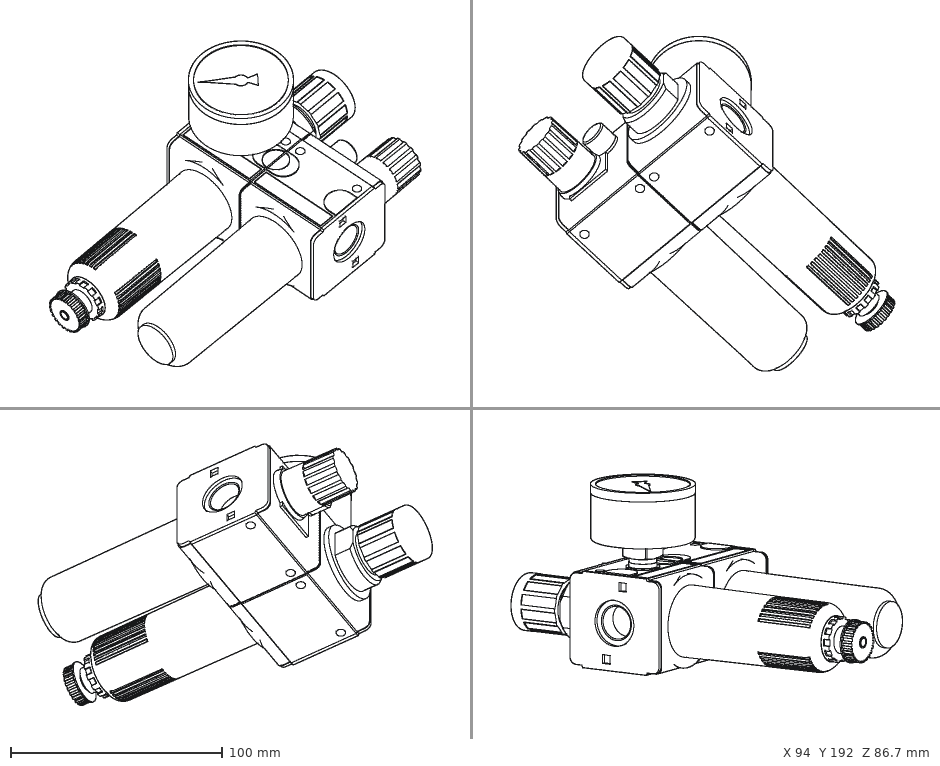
import cadquery as cq

REGULATOR_X = -22.3
LUBRICATOR_X = 22.5

BLOCK_X0 = 0.4
BLOCK_X1 = 45.0
BLOCK_HALF_Y = 25.7
BLOCK_HALF_Z = 23.2
SHOULDER_HALF_Z = 22.5
BAND_HALF_Y = 18.0
BAND_FOOT_HALF_Y = 18.6
EDGE_R = 3.5
BLOCK_W = BLOCK_X1 - BLOCK_X0
BLOCK_MID_X = (BLOCK_X0 + BLOCK_X1) / 2

MOUNT_HOLE_D = 4.5
MOUNT_HOLE_DX = 18.0
MOUNT_HOLE_Y = 12.0
PAD_D = 15.2
PAD_RISE = 0.5
JOINT_SPOT_D = 13.0
LABEL_W = 42.2
LABEL_Y0 = -17.0
LABEL_Y1 = -8.6
LABEL_DEPTH = 0.4
PORT_D = 15.7
PORT_MOUTH_D = 17.0
PORT_MOUTH_DEPTH = 0.4
PORT_DEPTH = 8.8

PLATE_T = 1.7
PLATE_INSET = 0.4
PLATE_HOLE_D = 22.0
WINDOW = 4.2
WINDOW_Y = 4.6
WINDOW_Z = 17.9
SEAL_INSET = 0.5

BOWL_R0 = 17.3
BOWL_R1 = 16.7
BOWL_ROUND_Y = -102.3
BOWL_MID_R = 15.5
BOWL_MID_Y = -105.6
BOWL_CONE_R = 13.0
BOWL_CONE_Y = -107.7
BOWL_TIP_R = 11.1
BOWL_TIP_Y = -108.7
BOWL_FOOT_Y = -110.5

GRIP_Y0 = -104.5
GRIP_Y1 = -75.5
GRIP_GROUPS = 3
GRIP_GROOVES = 8
GRIP_PITCH = 9
GRIP_GROOVE_W = 1.3
GRIP_GROOVE_DEPTH = 0.8

CROWN_R = 11.0
CROWN_Y = -112.9
CROWN_NOTCHES = 12
CROWN_NOTCH_W = 3.0
CROWN_NOTCH_L = 2.9
CROWN_NOTCH_DEPTH = 1.0
DRAIN_STEM_R = 6.5
DRAIN_STEM_Y = -117.7
DRAIN_NECK_R = 4.5
DRAIN_KNOB_Y0 = -119
DRAIN_KNOB_Y1 = -125.0
DRAIN_KNOB_R = 9.8
DRAIN_RIM_R = 10.4
DRAIN_RIM_T = 0.8
DRAIN_KNURLS = 24
DRAIN_KNURL_W = 1.3
DRAIN_KNURL_DEPTH = 0.8
NOZZLE_D = 5.4
NOZZLE_Y = -125.4
NOZZLE_HOLE_D = 4.0
NOZZLE_HOLE_DEPTH = 5.8

FLANGE_R = 19.0
FLANGE_Y = 28.5
RING_FLATS = 26.5
RING_D = 30.5
RING_Y = 38.4
RING_CHAMFER_R = 13.8
RING_CHAMFER_L = 1.7
HEAD_NECK_R = 11.0
KNOB_R = 13.8
KNOB_Y0 = 41.0
KNOB_Y1 = 66.6
KNOB_ROUND = 1.5
KNOB_GROOVES = 12
KNOB_GROOVE_W = 5.0
KNOB_GROOVE_DEPTH = 0.5
KNOB_GROOVE_Y = 60.3

DOME_X = 13.0
DOME_Z = 10.0
DOME_R = 6.5
DOME_Y = 36.5
DOME_FOOT_D = 13.2
DOME_FOOT_Y = 27.0
DOME_CHAMFER = 0.8
CAP_X = 29.4
CAP_R0 = 11.5
CAP_R1 = 11.1
CAP_Y = 57.8
COLLAR_R0 = 13.0
COLLAR_R1 = 12.5
COLLAR_CONE_Y = 27.0
COLLAR_Y = 29.2
CAP_GROOVES = 16
CAP_GROOVE_R = 1.7
CAP_GROOVE_AXIS_R = 12.0
CAP_GROOVE_Y = 41.0
CAP_GROOVE_START = 5
BASE_X = 24.5
BASE_W = 23.5
BASE_D = 27.6
BASE_T = 1.3

GAUGE_R = 25
GAUGE_Z0 = 36.5
GAUGE_Z1 = 63.5
BEZEL_Z = 59.3
BEZEL_STEP = 0.1
GAUGE_ROUND = 1.5
DIAL_R = 22.5
DIAL_DEPTH = 0.5
STEM_X = 14.8
STEM_Y = 14.0
STEM_CORNER_D = 19.5
STEM_Z = 28.0
STEM_CONE_L = 1.0
GAUGE_NECK_R = 6.5
GAUGE_SPIGOT_R = 6.7
GAUGE_SPIGOT_Z = 26.0
GAUGE_COLLAR_R = 8.0
GAUGE_COLLAR_T = 0.5
POINTER_T = 0.2
POINTER_HUB_R = 3.5
NEEDLE_X0 = 2.7
NEEDLE_X1 = 16.1
NEEDLE_TIP_X = 20.4
NEEDLE_HALF_W0 = 2.3
NEEDLE_HALF_W1 = 0.4
TAIL_X0 = -2
TAIL_X1 = -3.5
TAIL_END_X = -8.0
TAIL_NECK_HALF_W = 1.5
TAIL_END_HALF_W = 3.6
POINTER_ANGLE = 225


def turned(points, x):
    """Solid of revolution about the line through x along Y, from (radius, y) points."""
    return cq.Workplane("XY", origin=(x, 0, 0)).polyline(points).close().revolve(360, (0, 0), (0, 1))


def cylinder_y(x, radius, y0, y1):
    return cq.Workplane("XZ", origin=(x, y0, 0)).circle(radius).extrude(y0 - y1)


def around_y(shape, x, angle):
    """Shape turned by an angle about the line through x along Y, from +X towards +Z."""
    return shape.rotate((x, 0, 0), (x, -1, 0), angle)


def rim_cutter(x, radius, width, depth, y0, y1):
    """Bar that cuts a groove of the given depth into the +X side of a round part."""
    length = y1 - y0
    return (
        cq.Workplane("XY", origin=(x + radius, (y0 + y1) / 2, 0))
        .box(2 * depth, length, width)
    )


def cut_rim(body, cutter, x, angles):
    for angle in angles:
        body = body.cut(around_y(cutter, x, angle))
    return body


def even_angles(count, start=0):
    return [start + i * 360 / count for i in range(count)]


def block_section(x0, width, inset):
    """Block with a raised middle band on top and below, its long edges rounded."""
    half_y = BLOCK_HALF_Y - inset
    shoulder = SHOULDER_HALF_Z - inset
    block = (
        cq.Workplane("YZ", origin=(x0, 0, 0))
        .rect(2 * half_y, 2 * shoulder)
        .extrude(width)
        .edges("|X")
        .fillet(EDGE_R)
    )
    band = (
        cq.Workplane("YZ", origin=(x0, 0, 0))
        .polyline(
            [
                (BAND_HALF_Y, BLOCK_HALF_Z),
                (BAND_FOOT_HALF_Y, shoulder),
                (BAND_FOOT_HALF_Y, -shoulder),
                (BAND_HALF_Y, -BLOCK_HALF_Z),
                (-BAND_HALF_Y, -BLOCK_HALF_Z),
                (-BAND_FOOT_HALF_Y, -shoulder),
                (-BAND_FOOT_HALF_Y, shoulder),
                (-BAND_HALF_Y, BLOCK_HALF_Z),
            ]
        )
        .close()
        .extrude(width)
    )
    return block.union(band)


def top_pads():
    """D-shaped pads at both sides of the lubricator block, open towards its side faces."""
    pads = cq.Workplane("XY", origin=(0, 0, BLOCK_HALF_Z))
    centres = [(BLOCK_MID_X - MOUNT_HOLE_DX, 0), (BLOCK_MID_X + MOUNT_HOLE_DX, 0)]
    pads = pads.pushPoints(centres).circle(PAD_D / 2).extrude(PAD_RISE)
    for x0, x1 in ((BLOCK_X0, centres[0][0]), (centres[1][0], BLOCK_X1)):
        bar = (
            cq.Workplane("XY", origin=((x0 + x1) / 2, 0, BLOCK_HALF_Z))
            .rect(x1 - x0, PAD_D)
            .extrude(PAD_RISE)
        )
        pads = pads.union(bar)
    limit = (
        cq.Workplane("XY", origin=(BLOCK_MID_X, 0, BLOCK_HALF_Z))
        .box(BLOCK_W, PAD_D, 2 * PAD_RISE)
    )
    spot = cq.Workplane("XY", origin=(0, 0, BLOCK_HALF_Z)).circle(JOINT_SPOT_D / 2).extrude(PAD_RISE)
    return pads.intersect(limit).cut(spot)


def right_housing():
    """Housing block of the lubricator; the regulator's is its mirror image."""
    block = block_section(BLOCK_X0, BLOCK_W, 0)
    bowl_boss = cylinder_y(LUBRICATOR_X, SHOULDER_HALF_Z, -BLOCK_HALF_Y, 0)
    sides = cq.Workplane("XY", origin=(BLOCK_MID_X, 0, 0)).box(
        BLOCK_W, 2 * BLOCK_HALF_Y, 2 * BLOCK_HALF_Z
    )
    block = block.union(bowl_boss.intersect(sides))
    block = block.union(top_pads())

    hole_x = [BLOCK_MID_X - MOUNT_HOLE_DX, BLOCK_MID_X + MOUNT_HOLE_DX]
    holes = (
        cq.Workplane("XY", origin=(0, 0, -BLOCK_HALF_Z))
        .pushPoints([(x, MOUNT_HOLE_Y) for x in hole_x])
        .circle(MOUNT_HOLE_D / 2)
        .extrude(2 * BLOCK_HALF_Z)
    )
    label = (
        cq.Workplane("XY", origin=(BLOCK_MID_X, (LABEL_Y0 + LABEL_Y1) / 2, BLOCK_HALF_Z))
        .box(LABEL_W, LABEL_Y1 - LABEL_Y0, 2 * LABEL_DEPTH)
    )
    port = cq.Workplane("YZ", origin=(BLOCK_X1, 0, 0)).circle(PORT_D / 2).extrude(-PORT_DEPTH)
    mouth = (
        cq.Workplane("YZ", origin=(BLOCK_X1, 0, 0))
        .circle(PORT_MOUTH_D / 2)
        .workplane(offset=-PORT_MOUTH_DEPTH)
        .circle(PORT_D / 2)
        .loft()
    )
    return block.cut(holes).cut(label).cut(port).cut(mouth)


def bowl(x):
    """Tapered bowl with a rounded end, closed by a shallow cone."""
    return (
        cq.Workplane("XY", origin=(x, 0, 0))
        .moveTo(0, -BLOCK_HALF_Y)
        .lineTo(BOWL_R0, -BLOCK_HALF_Y)
        .lineTo(BOWL_R1, BOWL_ROUND_Y)
        .threePointArc((BOWL_MID_R, BOWL_MID_Y), (BOWL_CONE_R, BOWL_CONE_Y))
        .lineTo(BOWL_TIP_R, BOWL_TIP_Y)
        .lineTo(0, BOWL_TIP_Y)
        .close()
        .revolve(360, (0, 0), (0, 1))
    )


def grip_angles():
    first = -GRIP_PITCH * (GRIP_GROOVES - 1) / 2
    return [
        group + first + i * GRIP_PITCH
        for group in even_angles(GRIP_GROUPS)
        for i in range(GRIP_GROOVES)
    ]


def drain_valve(x):
    """Notched crown, stem and knurled knob with a nozzle, below the regulator bowl."""
    crown = cylinder_y(x, CROWN_R, BOWL_TIP_Y, CROWN_Y)
    notch = rim_cutter(x, CROWN_R, CROWN_NOTCH_W, CROWN_NOTCH_DEPTH, CROWN_Y, CROWN_Y + CROWN_NOTCH_L)
    crown = cut_rim(crown, notch, x, even_angles(CROWN_NOTCHES))
    stem = cylinder_y(x, DRAIN_STEM_R, CROWN_Y, DRAIN_STEM_Y)
    neck = cylinder_y(x, DRAIN_NECK_R, DRAIN_STEM_Y, DRAIN_KNOB_Y0)
    knob = cylinder_y(x, DRAIN_KNOB_R, DRAIN_KNOB_Y0, DRAIN_KNOB_Y1)
    knurl = rim_cutter(
        x, DRAIN_KNOB_R, DRAIN_KNURL_W, DRAIN_KNURL_DEPTH, DRAIN_KNOB_Y1, DRAIN_KNOB_Y0 - DRAIN_RIM_T
    )
    knob = cut_rim(knob, knurl, x, even_angles(DRAIN_KNURLS))
    rim = cylinder_y(x, DRAIN_RIM_R, DRAIN_KNOB_Y0, DRAIN_KNOB_Y0 - DRAIN_RIM_T)
    nozzle = cylinder_y(x, NOZZLE_D / 2, DRAIN_KNOB_Y1, NOZZLE_Y)
    hole = cylinder_y(x, NOZZLE_HOLE_D / 2, NOZZLE_Y, NOZZLE_Y + NOZZLE_HOLE_DEPTH)
    return crown.union(stem).union(neck).union(knob).union(rim).union(nozzle).cut(hole)


def regulator_head(x):
    """Flange, ring with two flats and grooved adjusting knob on the +Y side."""
    flange = cylinder_y(x, FLANGE_R, BLOCK_HALF_Y, FLANGE_Y)
    ring = turned(
        [
            (0, FLANGE_Y),
            (RING_D / 2, FLANGE_Y),
            (RING_D / 2, RING_Y - RING_CHAMFER_L),
            (RING_CHAMFER_R, RING_Y),
            (0, RING_Y),
        ],
        x,
    )
    between_flats = cq.Workplane("XY", origin=(x, (FLANGE_Y + RING_Y) / 2, 0)).box(
        RING_FLATS, RING_Y - FLANGE_Y, RING_D
    )
    neck = cylinder_y(x, HEAD_NECK_R, RING_Y, KNOB_Y0)
    knob = cylinder_y(x, KNOB_R, KNOB_Y0, KNOB_Y1).faces(">Y").edges().fillet(KNOB_ROUND)
    groove = rim_cutter(x, KNOB_R, KNOB_GROOVE_W, KNOB_GROOVE_DEPTH, KNOB_Y0, KNOB_GROOVE_Y)
    knob = cut_rim(knob, groove, x, even_angles(KNOB_GROOVES, 180 / KNOB_GROOVES))
    return flange.union(ring.intersect(between_flats)).union(neck).union(knob)


def lubricator_head():
    """Base, sight dome and fluted cap with a collar on the +Y side."""
    base = (
        cq.Workplane("XY", origin=(BASE_X, BLOCK_HALF_Y + BASE_T / 2, 0))
        .box(BASE_W, BASE_T, BASE_D)
    )
    dome = cylinder_y(DOME_X, DOME_R, BLOCK_HALF_Y, DOME_Y).faces(">Y").edges().chamfer(DOME_CHAMFER)
    dome = dome.union(cylinder_y(DOME_X, DOME_FOOT_D / 2, BLOCK_HALF_Y, DOME_FOOT_Y))
    dome = dome.translate((0, 0, DOME_Z))
    cap = turned(
        [
            (0, BLOCK_HALF_Y),
            (COLLAR_R0, BLOCK_HALF_Y),
            (COLLAR_R0, COLLAR_CONE_Y),
            (COLLAR_R1, COLLAR_Y),
            (CAP_R0, COLLAR_Y),
            (CAP_R1, CAP_Y),
            (0, CAP_Y),
        ],
        CAP_X,
    )
    flute = cylinder_y(CAP_X + CAP_GROOVE_AXIS_R, CAP_GROOVE_R, CAP_GROOVE_Y, CAP_Y)
    cap = cut_rim(cap, flute, CAP_X, even_angles(CAP_GROOVES, CAP_GROOVE_START))
    return base.union(dome).union(cap)


def build_regulator():
    x = REGULATOR_X
    grip = rim_cutter(x, BOWL_R1, GRIP_GROOVE_W, GRIP_GROOVE_DEPTH, GRIP_Y0, GRIP_Y1)
    grip_bowl = cut_rim(bowl(x), grip, x, grip_angles())
    housing = right_housing().mirror("YZ")
    return housing.union(grip_bowl).union(drain_valve(x)).union(regulator_head(x))


def build_lubricator():
    foot = cylinder_y(LUBRICATOR_X, BOWL_TIP_R, BOWL_TIP_Y, BOWL_FOOT_Y)
    return right_housing().union(bowl(LUBRICATOR_X)).union(foot).union(lubricator_head())


def build_end_plate(side):
    """Plate on the outer side of a unit, with a port hole and two windows; side is -1 or +1."""
    plate = block_section(BLOCK_X1, PLATE_T, PLATE_INSET)
    opening = cq.Workplane("YZ", origin=(BLOCK_X1, 0, 0)).circle(PLATE_HOLE_D / 2).extrude(PLATE_T)
    windows = (
        cq.Workplane("YZ", origin=(BLOCK_X1, 0, 0))
        .pushPoints([(-WINDOW_Y, WINDOW_Z), (WINDOW_Y, -WINDOW_Z)])
        .rect(WINDOW, WINDOW)
        .extrude(PLATE_T)
    )
    plate = plate.cut(opening).cut(windows)
    return plate if side > 0 else plate.mirror("YZ")


def build_joint_seal():
    """Thin seal that fills the gap between the two housings, slightly set back."""
    return (
        cq.Workplane("YZ", origin=(-BLOCK_X0, 0, 0))
        .rect(2 * (BLOCK_HALF_Y - SEAL_INSET), 2 * (SHOULDER_HALF_Z - SEAL_INSET))
        .extrude(2 * BLOCK_X0)
        .edges("|X")
        .fillet(EDGE_R)
    )


def symmetric_plate(edge):
    """Thin plate on XY, mirrored about the X axis from the points of its +Y edge."""
    mirrored = [(x, -y) for x, y in reversed(edge) if y > 0]
    return cq.Workplane("XY").polyline(edge + mirrored).close().extrude(POINTER_T)


def pointer():
    """Dial pointer about the origin with its tip towards +X: hub, needle and tail."""
    hub = cq.Workplane("XY").circle(POINTER_HUB_R).extrude(POINTER_T)
    needle = symmetric_plate(
        [(NEEDLE_X0, NEEDLE_HALF_W0), (NEEDLE_X1, NEEDLE_HALF_W1), (NEEDLE_TIP_X, 0)]
    )
    tail = symmetric_plate(
        [(TAIL_X0, TAIL_NECK_HALF_W), (TAIL_X1, TAIL_NECK_HALF_W), (TAIL_END_X, TAIL_END_HALF_W)]
    )
    return hub.union(needle).union(tail)


def build_gauge():
    """Pressure gauge on the regulator housing: round case, rectangular stem and neck."""
    case = (
        cq.Workplane("XY", origin=(0, 0, GAUGE_Z0))
        .circle(GAUGE_R - BEZEL_STEP)
        .extrude(BEZEL_Z - GAUGE_Z0)
        .faces("<Z")
        .edges()
        .fillet(GAUGE_ROUND)
    )
    bezel = cq.Workplane("XY", origin=(0, 0, BEZEL_Z)).circle(GAUGE_R).extrude(GAUGE_Z1 - BEZEL_Z)
    dial_z = GAUGE_Z1 - DIAL_DEPTH
    dial = cq.Workplane("XY", origin=(0, 0, dial_z)).circle(DIAL_R).extrude(DIAL_DEPTH)
    needle = pointer().rotate((0, 0, 0), (0, 0, 1), POINTER_ANGLE).translate((0, 0, dial_z))
    stem = (
        cq.Workplane("XY", origin=(0, 0, STEM_Z))
        .rect(STEM_X, STEM_Y)
        .extrude(GAUGE_Z0 - STEM_Z)
    )
    corner_r = STEM_CORNER_D / 2
    stem_turning = (
        cq.Workplane("XZ")
        .polyline(
            [
                (0, STEM_Z),
                (GAUGE_NECK_R, STEM_Z),
                (corner_r, STEM_Z + STEM_CONE_L),
                (corner_r, GAUGE_Z0),
                (0, GAUGE_Z0),
            ]
        )
        .close()
        .revolve(360, (0, 0), (0, 1))
    )
    neck = (
        cq.Workplane("XY", origin=(0, 0, BLOCK_HALF_Z))
        .circle(GAUGE_NECK_R)
        .extrude(STEM_Z - BLOCK_HALF_Z)
    )
    spigot = (
        cq.Workplane("XY", origin=(0, 0, BLOCK_HALF_Z))
        .circle(GAUGE_SPIGOT_R)
        .extrude(GAUGE_SPIGOT_Z - BLOCK_HALF_Z)
    )
    collar = cq.Workplane("XY", origin=(0, 0, BLOCK_HALF_Z)).circle(GAUGE_COLLAR_R).extrude(GAUGE_COLLAR_T)
    gauge = case.union(bezel).cut(dial).union(needle)
    gauge = gauge.union(stem.intersect(stem_turning)).union(neck).union(spigot).union(collar)
    return gauge.translate((REGULATOR_X, 0, 0))


regulator = build_regulator()
lubricator = build_lubricator()
end_plates = [build_end_plate(side) for side in (-1, 1)]
joint_seal = build_joint_seal()
gauge = build_gauge()

result = cq.Compound.makeCompound(
    [
        regulator.val(),
        lubricator.val(),
        *[plate.val() for plate in end_plates],
        joint_seal.val(),
        gauge.val(),
    ]
)